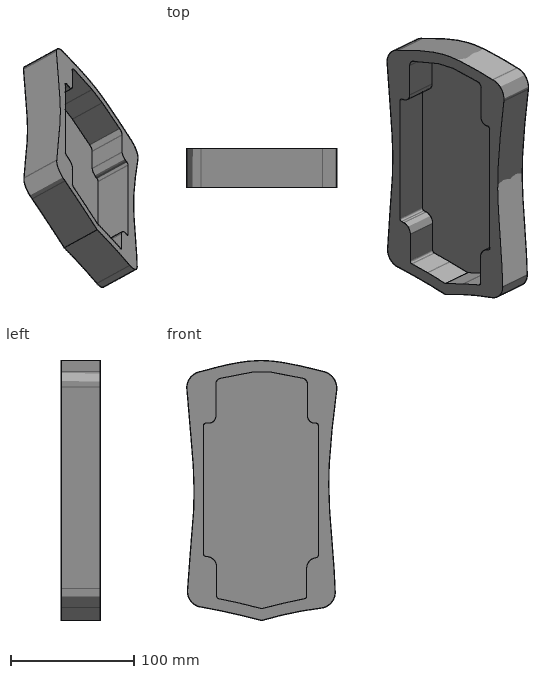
import cadquery as cq

height = 211.5
width = 122.0
thickness = 32.0
floor_thickness = 3.0

top = height / 2
bottom = -height / 2
half_width = width / 2
open_face = -thickness / 2

left_waist = (-55.0, -2.5)
right_waist = (54.5, 6.3)
left_upper_flank = (-57.5, 42.7)
right_upper_flank = (56.3, 39.0)
left_lower_flank = (-57.7, -45.9)
right_lower_flank = (57.0, -39.5)

left_crown_end = (-49.3, 96.9)
right_crown_end = (49.3, 97.0)
left_shoulder = (-half_width, 84.0)
right_shoulder = (half_width, 81.5)
left_foot = (-60.3, -79.5)
right_foot = (59.9, -83.0)
left_base_end = (-48.0, -95.0)
right_base_end = (48.6, -95.5)

left_shoulder_middle = (-57.5, 92.5)
right_shoulder_middle = (57.7, 92.2)
right_foot_middle = (56.9, -91.0)
left_foot_middle = (-57.5, -90.0)
left_crown_middle = (-20.0, 103.8)
right_crown_middle = (19.0, 103.8)
right_base_middle = (23.3, -99.8)
left_base_middle = (-23.3, -100.0)

wide_left = -47.4
wide_right = 46.0
upper_half_width = 37.2
lower_half_width = 36.5
upper_ledge = 54.8
left_lower_ledge = -53.0
right_lower_ledge = -54.1
pocket_top = 96.2
pocket_crown_half_width = 7.6
pocket_shoulder = 90.5
pocket_bottom = -96.0
base_bend = (18.6, -91.4)
pocket_foot = -87.5
upper_corner_radius = 4.7
upper_ledge_radius = 6.0
lower_ledge_radius = 8.5
small_radius = 2.1


def outer_body():
    """Waisted outline with a bowed top and a shallow point at the bottom."""
    crown_points = [left_crown_middle, (0, top), right_crown_middle, right_crown_end]
    right_points = [right_upper_flank, right_waist, right_lower_flank, right_foot]
    left_points = [left_lower_flank, left_waist, left_upper_flank, left_shoulder]
    outline = (
        cq.Workplane("XZ", origin=(0, open_face, 0))
        .moveTo(*left_shoulder)
        .threePointArc(left_shoulder_middle, left_crown_end)
        .spline(crown_points, includeCurrent=True)
        .threePointArc(right_shoulder_middle, right_shoulder)
        .spline(right_points, includeCurrent=True)
        .threePointArc(right_foot_middle, right_base_end)
        .threePointArc(right_base_middle, (0, bottom))
        .threePointArc(left_base_middle, left_base_end)
        .threePointArc(left_foot_middle, left_foot)
        .spline(left_points, includeCurrent=True)
        .close()
    )
    return outline.extrude(-thickness)


def pocket_side(side, wide_x, lower_ledge):
    """Half of the pocket on one side of X = 0 (side is -1 or 1), with its rounded steps."""
    upper_x = side * upper_half_width
    lower_x = side * lower_half_width
    points = [
        (0, pocket_top),
        (side * pocket_crown_half_width, pocket_top),
        (upper_x, pocket_shoulder),
        (upper_x, upper_ledge),
        (wide_x, upper_ledge),
        (wide_x, lower_ledge),
        (lower_x, lower_ledge - small_radius),
        (lower_x, pocket_foot),
        (side * base_bend[0], base_bend[1]),
        (0, pocket_bottom),
    ]
    depth = thickness - floor_thickness
    half = (
        cq.Workplane("XZ", origin=(0, open_face, 0))
        .polyline(points)
        .close()
        .extrude(-depth)
    )
    rounded_corners = [
        ((upper_x, pocket_shoulder), upper_corner_radius),
        ((upper_x, upper_ledge), upper_ledge_radius),
        ((wide_x, upper_ledge), small_radius),
        ((wide_x, lower_ledge), small_radius),
        ((lower_x, lower_ledge - small_radius), lower_ledge_radius),
        ((lower_x, pocket_foot), small_radius),
    ]
    mid_depth = open_face + depth / 2
    for (x, z), radius in rounded_corners:
        corner_edge = cq.selectors.NearestToPointSelector((x, mid_depth, z))
        half = half.edges("|Y").edges(corner_edge).fillet(radius)
    return half


left_pocket = pocket_side(-1, wide_left, left_lower_ledge)
right_pocket = pocket_side(1, wide_right, right_lower_ledge)

result = outer_body().cut(left_pocket.union(right_pocket))